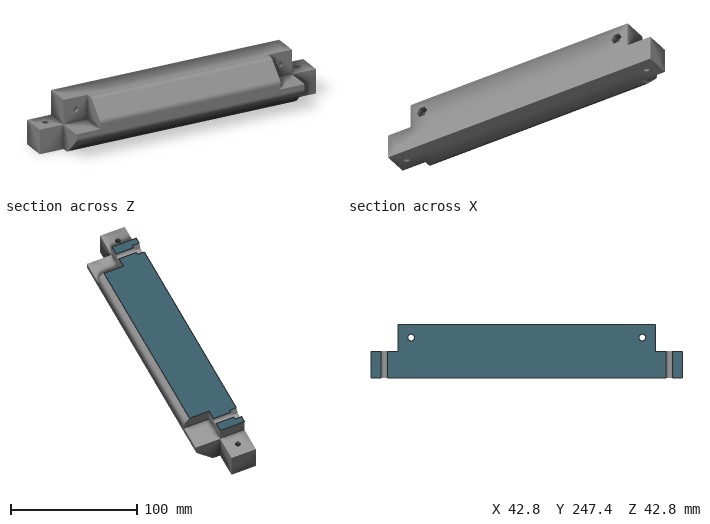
import cadquery as cq

length = 247.4
side = 42.8
chamfer = 15.0
edge_radius = 5.2
hole_diameter = 5.0
nut_across_corners = 9.5
nut_depth = 6.0

half = side / 2
hole_inset = half / 2
step_y = length / 2 - half
shelf_y = step_y - half
bolt_y = step_y - hole_inset


def chamfered_bar():
    """Full-length square bar with its two +X edges chamfered and rounded off."""
    bar = cq.Workplane("XY").box(side, length, side, centered=(False, True, False))
    bar = bar.faces(">X").edges("|Y").chamfer(chamfer)
    sloped_face_edges = bar.edges("|Y").edges(cq.selectors.BoxSelector(
        (half, -length, -side), (2 * side, length, 2 * side)))
    return sloped_face_edges.fillet(edge_radius)


def corner_block(x, z, y_inner, end):
    """Quarter-section block reaching from y_inner to the bar's end (end is +1 or -1)."""
    block_length = length / 2 - y_inner
    block = cq.Workplane("XY").box(half, block_length, half, centered=(False, True, False))
    return block.translate((x, end * (y_inner + block_length / 2), z))


def lug_hole(end):
    """Vertical hole through the middle of an end lug."""
    return cq.Workplane("XY").center(hole_inset, end * (length / 2 - hole_inset)).circle(
        hole_diameter / 2).extrude(half)


def bolt_hole(end):
    """Hole along X onto the shelf, with a hexagonal nut pocket in the -X face."""
    face = cq.Workplane("YZ").center(end * bolt_y, side - hole_inset)
    hole = face.circle(hole_diameter / 2).extrude(half)
    return hole.union(face.polygon(6, nut_across_corners).extrude(nut_depth))


result = chamfered_bar()
for end in (-1, 1):
    result = result.cut(corner_block(0, half, step_y, end))
    result = result.cut(corner_block(half, 0, step_y, end))
    result = result.cut(corner_block(half, half, shelf_y, end))
    result = result.cut(lug_hole(end))
    result = result.cut(bolt_hole(end))